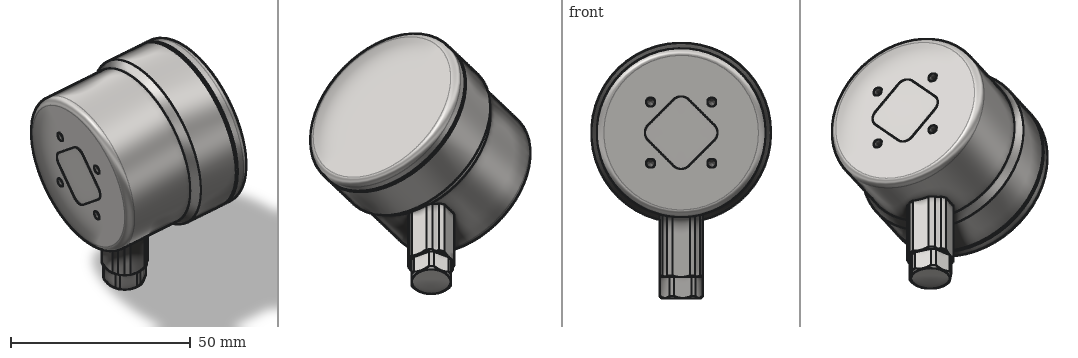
import cadquery as cq
import math

CASE_LENGTH = 40.6
RIM_DIAMETER = 50.0
RIM_RADIUS = RIM_DIAMETER / 2
BARREL_RADIUS = 23.45
EDGE_FILLET = 2.0
LID_THICKNESS = 4.0
LID_GAP = 0.7
LID_GAP_DEPTH = 2.2
RIM_LENGTH = 16.8
TAPER_LENGTH = 2.55

LABEL_SIDE = 16.0
LABEL_CORNER_RADIUS = 3.0
LABEL_DEPTH = 0.1
LABEL_TILT = 45
HOLE_SPACING = 17.0
HOLE_DIAMETER = 2.5
HOLE_DEPTH = 4.0
DRILL_POINT_ANGLE = 118

TOTAL_HEIGHT = 71.1
STEM_Y = 16.0
STEM_BOTTOM_Z = RIM_RADIUS - TOTAL_HEIGHT

SHANK_ACROSS_FLATS = 12.0
SHANK_CORNER_RADIUS = 6.5
SHANK_CORNERS = 4
FIRST_CORNER_ANGLE = 45
SHANK_CHAMFER_HEIGHT = 0.4
FLUTE_RADIUS = 2.0
FLUTE_AXIS_RADIUS = 8.2

HEX_SIDES = 6
HEX_ACROSS_FLATS = 11.0
HEX_CORNER_DIAMETER = 12.0
HEX_CORNER_RADIUS = HEX_CORNER_DIAMETER / 2
HEX_LENGTH = 6.0
HEX_TWIST = 4.5
HEX_CHAMFER_RADIAL = 0.65
HEX_CHAMFER_HEIGHT = 0.7


def make_case():
    """Turned profile: X is the radius, Y runs along the case axis."""
    lid_front = CASE_LENGTH - LID_THICKNESS
    gap_front = lid_front - LID_GAP
    gap_radius = RIM_RADIUS - LID_GAP_DEPTH
    taper_back = CASE_LENGTH - RIM_LENGTH
    taper_front = taper_back - TAPER_LENGTH
    profile = (
        cq.Workplane("XY")
        .lineTo(BARREL_RADIUS, 0)
        .lineTo(BARREL_RADIUS, taper_front)
        .lineTo(RIM_RADIUS, taper_back)
        .lineTo(RIM_RADIUS, gap_front)
        .lineTo(gap_radius, gap_front)
        .lineTo(gap_radius, lid_front)
        .lineTo(RIM_RADIUS, lid_front)
        .lineTo(RIM_RADIUS, CASE_LENGTH)
        .lineTo(0, CASE_LENGTH)
        .close()
    )
    case = profile.revolve(360, (0, 0, 0), (0, 1, 0))
    return case.faces("<Y or >Y").edges().fillet(EDGE_FILLET)


def stem_level(z):
    return cq.Workplane("XY", origin=(0, STEM_Y, z))


def chamfered_round(radius, bottom_z, top_z, chamfer_radial, chamfer_height):
    """Turned envelope whose lower edge is chamfered."""
    rod = stem_level(bottom_z).circle(radius).extrude(top_z - bottom_z)
    return rod.faces("<Z").chamfer(chamfer_height, chamfer_radial)


def make_shank():
    bottom_z = STEM_BOTTOM_Z + HEX_LENGTH
    height = -bottom_z
    square = stem_level(bottom_z).rect(SHANK_ACROSS_FLATS, SHANK_ACROSS_FLATS).extrude(height)
    chamfer_radial = SHANK_CORNER_RADIUS - SHANK_ACROSS_FLATS / 2
    envelope = chamfered_round(SHANK_CORNER_RADIUS, bottom_z, 0, chamfer_radial, SHANK_CHAMFER_HEIGHT)
    flutes = (
        stem_level(bottom_z)
        .polarArray(FLUTE_AXIS_RADIUS, FIRST_CORNER_ANGLE, 360, SHANK_CORNERS)
        .circle(FLUTE_RADIUS)
        .extrude(height)
    )
    return square.intersect(envelope).cut(flutes)


def make_hex_end():
    top_z = STEM_BOTTOM_Z + HEX_LENGTH
    across_corners = HEX_ACROSS_FLATS / math.cos(math.pi / HEX_SIDES)
    hexagon = (
        stem_level(STEM_BOTTOM_Z)
        .transformed(rotate=(0, 0, HEX_TWIST))
        .polygon(HEX_SIDES, across_corners)
        .extrude(HEX_LENGTH)
    )
    envelope = chamfered_round(
        HEX_CORNER_RADIUS, STEM_BOTTOM_Z, top_z, HEX_CHAMFER_RADIAL, HEX_CHAMFER_HEIGHT
    )
    return hexagon.intersect(envelope)


def make_label_recess():
    """Shallow recess for a square label standing on its corner."""
    square = cq.Workplane("XZ").rect(LABEL_SIDE, LABEL_SIDE).extrude(-LABEL_DEPTH)
    return square.edges("|Y").fillet(LABEL_CORNER_RADIUS).rotate((0, 0, 0), (0, 1, 0), LABEL_TILT)


def make_mounting_holes():
    """Four blind drilled holes with conical ends, turned about the Y axis."""
    radius = HOLE_DIAMETER / 2
    point_length = radius / math.tan(math.radians(DRILL_POINT_ANGLE / 2))
    drill = (
        cq.Workplane("XY")
        .lineTo(radius, 0)
        .lineTo(radius, HOLE_DEPTH)
        .lineTo(0, HOLE_DEPTH + point_length)
        .close()
        .revolve(360, (0, 0, 0), (0, 1, 0))
        .val()
    )
    offset = HOLE_SPACING / 2
    centers = [(x, 0, z) for x in (-offset, offset) for z in (-offset, offset)]
    return cq.Workplane("XY").pushPoints(centers).eachpoint(lambda place: drill.moved(place))


result = (
    make_case()
    .union(make_shank())
    .union(make_hex_end())
    .cut(make_label_recess())
    .cut(make_mounting_holes())
)